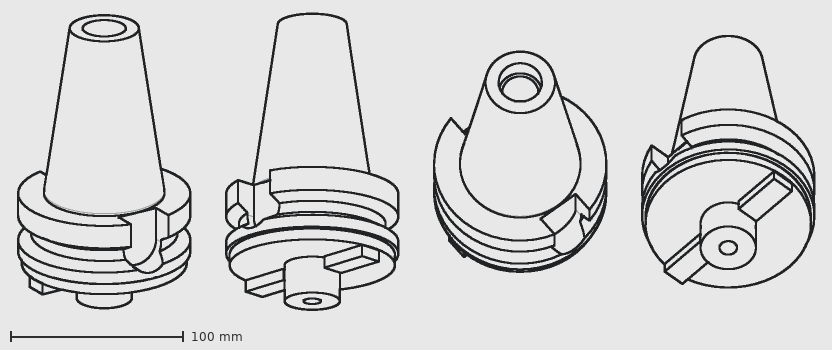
import cadquery as cq

total_height = 168.8
pilot_length = 22.0
lip_height = 7.1
groove_low = 40.5
groove_high = 47.3
flange_top = 65.5
gauge_height = 67.0

pilot_radius = 16.0
lip_radius = 48.0
lip_chamfer = 0.5
flange_radius = 50.0
groove_radius = 42.5
taper_large_radius = 35.0
taper_small_radius = 20.1
groove_flank_rise = 4.2

mouth_radius = 12.5
mouth_depth = 12.8
thread_radius = 10.5
thread_depth = 43.9
through_radius = 5.0

slot_width = 25.8
slot_floor_x = 35.3
slot_bottom = 33.1

key_width = 13.8
key_height = 7.0
key_inner_y = 16.5
key_outer_y = 47.1


def turned_body():
    lip_top = pilot_length + lip_height
    profile = [
        (0, 0),
        (pilot_radius, 0),
        (pilot_radius, pilot_length),
        (lip_radius, pilot_length),
        (lip_radius, lip_top - lip_chamfer),
        (lip_radius - lip_chamfer, lip_top),
        (flange_radius, lip_top),
        (flange_radius, groove_low - groove_flank_rise),
        (groove_radius, groove_low),
        (groove_radius, groove_high),
        (flange_radius, groove_high + groove_flank_rise),
        (flange_radius, flange_top),
        (taper_large_radius, flange_top),
        (taper_large_radius, gauge_height),
        (taper_small_radius, total_height),
        (0, total_height),
    ]
    return cq.Workplane("XZ").polyline(profile).close().revolve(360, (0, 0), (0, 1))


def axial_bore():
    """Through hole with two wider steps at the small end of the taper."""
    bore = cq.Workplane("XY").circle(through_radius).extrude(total_height)
    for radius, depth in ((mouth_radius, mouth_depth), (thread_radius, thread_depth)):
        step = cq.Workplane("XY", origin=(0, 0, total_height - depth)).circle(radius).extrude(depth)
        bore = bore.union(step)
    return bore


def drive_slot(side):
    """Slot with a half-round bottom, open at the top and rim of the flange."""
    half_width = slot_width / 2
    arc_center = slot_bottom + half_width
    return (
        cq.Workplane("YZ", origin=(side * slot_floor_x, 0, 0))
        .moveTo(-half_width, flange_top)
        .lineTo(-half_width, arc_center)
        .threePointArc((0, slot_bottom), (half_width, arc_center))
        .lineTo(half_width, flange_top)
        .close()
        .extrude(side * (flange_radius - slot_floor_x))
    )


def drive_key(side):
    key_length = key_outer_y - key_inner_y
    key_center_y = side * (key_inner_y + key_outer_y) / 2
    return (
        cq.Workplane("XY", origin=(0, key_center_y, pilot_length - key_height))
        .rect(key_width, key_length)
        .extrude(key_height)
    )


result = turned_body().cut(axial_bore())
for side in (-1, 1):
    result = result.cut(drive_slot(side)).union(drive_key(side))